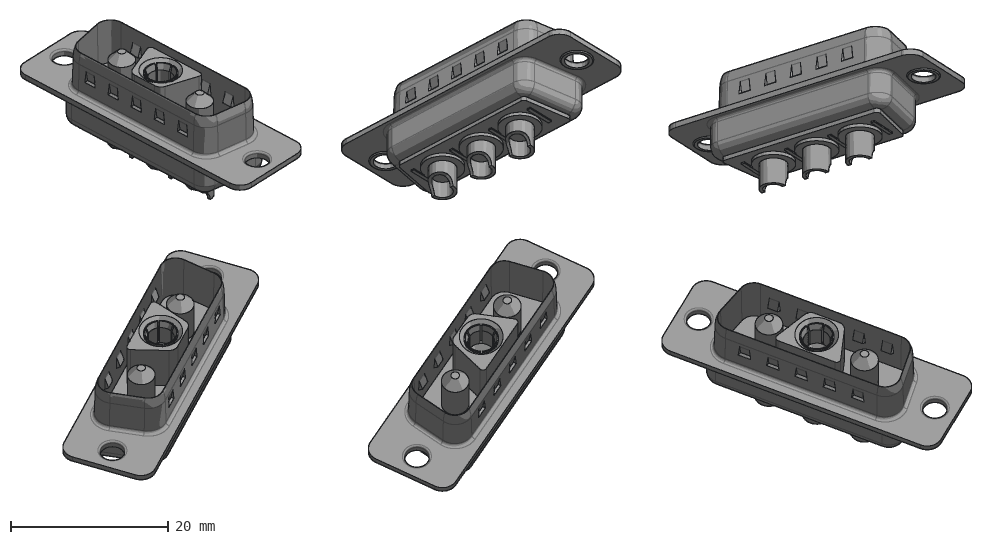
import cadquery as cq
import math


flange_length = 39.2
flange_width = 12.5
flange_thickness = 0.8
flange_corner_radius = 1.95
mount_hole_x = 16.65
mount_hole_radius = 1.55
mount_hole_rounding = 0.27
mount_rim_height = 0.15
mount_rim_radius = 2.15
mount_rim_taper = 45

d_side_angle = math.radians(10)

shell_length = 26.35
shell_width = 9.35
shell_corner_radius = 2.45
shell_shoulder_z = 5.25
shell_top_z = 6.82
shell_draft = 0.1
shell_rim_inset = 0.45
shell_root_radius = 0.47

cavity_floor_z = 0.25
cavity_rim_inset = 0.47
cavity_floor_inset = 0.6

housing_length = 27.6
housing_width = 10.6
housing_corner_radius = 2.08
housing_bottom_z = -4.8
housing_edge_radius = 1.5
insulator_length = 24.4
insulator_width = 7.6
insulator_corner_radius = 0.55
insulator_bottom_z = -5.37

dimple_count = 5
dimple_pitch = 4.0
dimple_recess_top_z = 5.15
dimple_bump_top_z = 4.7
dimple_crest_z = 3.18
dimple_bottom_z = 2.9
dimple_crest_width = 1.37
dimple_mouth_width = 1.8
dimple_recess_depth = 0.35
dimple_bump_depth = 0.5
dimple_recess_y = 4.65
dimple_bump_y = 4.2

contact_count = 3
contact_pitch = 6.75
pin_radius = 1.75
pin_tip_radius = 0.55
pin_shoulder_z = 5.15
pin_tip_z = 6.4

block_top_z = 6.65
block_half_width = 3.0
block_wide_half_length = 4.75
block_side_angle = math.radians(20)
block_wide_corner_radius = 0.5
block_narrow_corner_radius = 1.18

socket_mouth_radius = 2.8
socket_sleeve_radius = 2.2
socket_lead_radius = 2.05
socket_bore_radius = 1.72
socket_sleeve_setback = 0.3
socket_lead_height = 0.85
socket_depth = 3.92
socket_tip_angle = math.radians(45)
socket_slit_count = 6
socket_slit_width = 0.25

collar_radius = 2.82
collar_height = 0.47
cup_radius = 1.85
cup_bottom_z = -9.35
cup_bore_radius = 1.37
cup_bore_depth = 2.35
cup_scoop_radius = 1.8

rib_count = contact_count + 1
rib_width = 0.5
rib_length = 4.0
rib_height = 0.2


def centred_row(count, pitch):
    """X positions of evenly spaced features about the middle."""
    return [(i - (count - 1) / 2) * pitch for i in range(count)]


def d_wire(length, width, radius, inset, z):
    """D outline at height z, moved inward by inset all round."""
    corner = radius - inset
    wide_x = length / 2 - radius
    centre_y = width / 2 - radius
    narrow_x = wide_x - 2 * centre_y * math.tan(d_side_angle)
    side = (math.cos(d_side_angle), -math.sin(d_side_angle))
    wide_mid_angle = math.pi / 4 - d_side_angle / 2
    narrow_mid_angle = -math.pi / 4 - d_side_angle / 2

    def on_corner(x, y, direction, hand):
        return (hand * (x + corner * direction[0]), y + corner * direction[1])

    def at(angle):
        return (math.cos(angle), math.sin(angle))

    up = (0, 1)
    down = (0, -1)
    return (
        cq.Workplane(origin=(0, 0, z))
        .moveTo(*on_corner(wide_x, centre_y, up, -1))
        .lineTo(*on_corner(wide_x, centre_y, up, 1))
        .threePointArc(
            on_corner(wide_x, centre_y, at(wide_mid_angle), 1),
            on_corner(wide_x, centre_y, side, 1),
        )
        .lineTo(*on_corner(narrow_x, -centre_y, side, 1))
        .threePointArc(
            on_corner(narrow_x, -centre_y, at(narrow_mid_angle), 1),
            on_corner(narrow_x, -centre_y, down, 1),
        )
        .lineTo(*on_corner(narrow_x, -centre_y, down, -1))
        .threePointArc(
            on_corner(narrow_x, -centre_y, at(narrow_mid_angle), -1),
            on_corner(narrow_x, -centre_y, side, -1),
        )
        .lineTo(*on_corner(wide_x, centre_y, side, -1))
        .threePointArc(
            on_corner(wide_x, centre_y, at(wide_mid_angle), -1),
            on_corner(wide_x, centre_y, up, -1),
        )
        .close()
        .val()
    )


def d_loft(length, width, radius, sections, ruled):
    """Solid through D outlines given as (inset, z) sections."""
    wires = [d_wire(length, width, radius, inset, z) for inset, z in sections]
    return cq.Workplane(cq.Solid.makeLoft(wires, ruled))


def make_flange():
    return (
        cq.Workplane()
        .box(flange_length, flange_width, flange_thickness, centered=(True, True, False))
        .edges("|Z")
        .fillet(flange_corner_radius)
    )


def make_shell_body():
    """Solid shell: drafted walls, then a band that curves in to the rim."""
    size = (shell_length, shell_width, shell_corner_radius)
    walls = d_loft(*size, [(0, flange_thickness), (shell_draft, shell_shoulder_z)], True)
    band_mid_z = (shell_shoulder_z + shell_top_z) / 2
    band_mid_inset = shell_draft + (shell_rim_inset - shell_draft) / 4
    band = d_loft(
        *size,
        [
            (shell_draft, shell_shoulder_z),
            (band_mid_inset, band_mid_z),
            (shell_rim_inset, shell_top_z),
        ],
        False,
    )
    return walls.union(band)


def make_cavity():
    return d_loft(
        shell_length,
        shell_width,
        shell_corner_radius,
        [(cavity_floor_inset, cavity_floor_z), (cavity_rim_inset, shell_top_z)],
        True,
    )


def make_housing():
    size = (housing_length, housing_width, housing_corner_radius)
    return (
        d_loft(*size, [(0, housing_bottom_z), (0, 0)], True)
        .faces("<Z")
        .edges()
        .fillet(housing_edge_radius)
    )


def make_insulator():
    size = (insulator_length, insulator_width, insulator_corner_radius)
    return d_loft(*size, [(0, insulator_bottom_z), (0, housing_bottom_z)], True)


def round_root(body, z):
    """Round the inner corner where a D-shaped body meets the flange at height z."""
    half_x = housing_length / 2 + shell_root_radius
    half_y = housing_width / 2 + shell_root_radius
    reach_z = 0.05
    root = cq.selectors.BoxSelector((-half_x, -half_y, z - reach_z), (half_x, half_y, z + reach_z))
    return body.edges(root).fillet(shell_root_radius)


def add_mount_holes(body):
    spots = [(-mount_hole_x, 0), (mount_hole_x, 0)]
    rims = (
        cq.Workplane()
        .pushPoints(spots)
        .circle(mount_rim_radius)
        .extrude(-mount_rim_height, taper=mount_rim_taper)
    )
    holes = (
        cq.Workplane(origin=(0, 0, -mount_rim_height))
        .pushPoints(spots)
        .circle(mount_hole_radius)
        .extrude(flange_thickness + mount_rim_height)
    )
    body = body.union(rims).cut(holes)
    for x, y in spots:
        reach = mount_hole_radius + mount_hole_rounding
        low = (x - reach, y - reach, flange_thickness - mount_rim_height)
        high = (x + reach, y + reach, flange_thickness + mount_rim_height)
        body = body.edges(cq.selectors.BoxSelector(low, high)).fillet(mount_hole_rounding)
    return body


def dimple_wedge(x, mouth_y, top_z, depth):
    """Wedge on the -Y wall, deepening from its top edge down to a crest and closed by a ledge."""
    crest = dimple_crest_width / 2
    mouth = dimple_mouth_width / 2
    crest_y = depth - mouth_y
    top_left = (x - crest, -mouth_y, top_z)
    top_right = (x + crest, -mouth_y, top_z)
    crest_left = (x - crest, crest_y, dimple_crest_z)
    crest_right = (x + crest, crest_y, dimple_crest_z)
    mouth_left = (x - mouth, -mouth_y, dimple_bottom_z)
    mouth_right = (x + mouth, -mouth_y, dimple_bottom_z)
    outlines = [
        (top_left, top_right, crest_right, crest_left),
        (crest_left, crest_right, mouth_right, mouth_left),
        (top_left, mouth_left, mouth_right, top_right),
        (top_left, crest_left, mouth_left),
        (top_right, mouth_right, crest_right),
    ]
    faces = []
    for outline in outlines:
        corners = [cq.Vector(*point) for point in outline]
        faces.append(cq.Face.makeFromWires(cq.Wire.makePolygon(corners, close=True)))
    return cq.Workplane(cq.Solid.makeSolid(cq.Shell.makeShell(faces)))


def add_dimples(body):
    for x in centred_row(dimple_count, dimple_pitch):
        bump = dimple_wedge(x, dimple_bump_y, dimple_bump_top_z, dimple_bump_depth)
        recess = dimple_wedge(x, dimple_recess_y, dimple_recess_top_z, dimple_recess_depth)
        body = body.union(bump).union(bump.mirror("XZ"))
        body = body.cut(recess).cut(recess.mirror("XZ"))
    return body


def make_pin(x):
    profile = [
        (0, 0),
        (pin_radius, 0),
        (pin_radius, pin_shoulder_z),
        (pin_tip_radius, pin_tip_z),
        (0, pin_tip_z),
    ]
    pin = cq.Workplane("XZ").polyline(profile).close().revolve(360, (0, 0), (0, 1))
    return pin.translate((x, 0, 0))


def make_socket_block():
    narrow_half_length = block_wide_half_length - 2 * block_half_width * math.tan(block_side_angle)
    block = (
        cq.Workplane()
        .polyline(
            [
                (-block_wide_half_length, block_half_width),
                (block_wide_half_length, block_half_width),
                (narrow_half_length, -block_half_width),
                (-narrow_half_length, -block_half_width),
            ]
        )
        .close()
        .extrude(block_top_z)
    )
    block = block.edges("|Z and >Y").fillet(block_wide_corner_radius)
    return block.edges("|Z and <Y").fillet(block_narrow_corner_radius)


def make_socket_bore():
    """Countersunk mouth, lead-in of the sleeve, bore with a conical end, and sleeve slits."""
    mouth_bottom_z = block_top_z - (socket_mouth_radius - socket_sleeve_radius)
    sleeve_top_z = block_top_z - socket_sleeve_setback
    bore_bottom_z = block_top_z - socket_depth
    tip_z = bore_bottom_z - socket_bore_radius / math.tan(socket_tip_angle)
    profile = [
        (0, tip_z),
        (socket_bore_radius, bore_bottom_z),
        (socket_bore_radius, sleeve_top_z - socket_lead_height),
        (socket_lead_radius, sleeve_top_z),
        (socket_sleeve_radius, sleeve_top_z),
        (socket_sleeve_radius, mouth_bottom_z),
        (socket_mouth_radius, block_top_z),
        (0, block_top_z),
    ]
    bore = cq.Workplane("XZ").polyline(profile).close().revolve(360, (0, 0), (0, 1))
    slit = (
        cq.Workplane(origin=(0, 0, bore_bottom_z))
        .rect(2 * socket_sleeve_radius, socket_slit_width)
        .extrude(sleeve_top_z - bore_bottom_z)
    )
    for i in range(socket_slit_count // 2):
        angle = 90 + i * 360 / socket_slit_count
        bore = bore.union(slit.rotate((0, 0, 0), (0, 0, 1), angle))
    return bore


def make_solder_cup(x):
    collar = (
        cq.Workplane(origin=(x, 0, insulator_bottom_z))
        .circle(collar_radius)
        .extrude(-collar_height)
    )
    barrel = (
        cq.Workplane(origin=(x, 0, cup_bottom_z))
        .circle(cup_radius)
        .extrude(insulator_bottom_z - cup_bottom_z)
    )
    bore = cq.Workplane(origin=(x, 0, cup_bottom_z)).circle(cup_bore_radius).extrude(cup_bore_depth)
    scoop = (
        cq.Workplane("YZ", origin=(x, -cup_radius, cup_bottom_z))
        .circle(cup_scoop_radius)
        .extrude(cup_radius, both=True)
    )
    return collar.union(barrel).cut(bore).cut(scoop)


def make_ribs():
    spots = [(x, 0) for x in centred_row(rib_count, contact_pitch)]
    return (
        cq.Workplane(origin=(0, 0, insulator_bottom_z))
        .pushPoints(spots)
        .rect(rib_width, rib_length)
        .extrude(-rib_height)
    )


body = make_flange().union(make_shell_body()).union(make_housing())
body = round_root(body, flange_thickness)
body = round_root(body, 0)
body = add_mount_holes(body)
body = body.union(make_insulator()).cut(make_cavity())
body = add_dimples(body)

for pin_x in (-contact_pitch, contact_pitch):
    body = body.union(make_pin(pin_x))
body = body.union(make_socket_block()).cut(make_socket_bore())

for cup_x in centred_row(contact_count, contact_pitch):
    body = body.union(make_solder_cup(cup_x))
body = body.union(make_ribs())

result = body